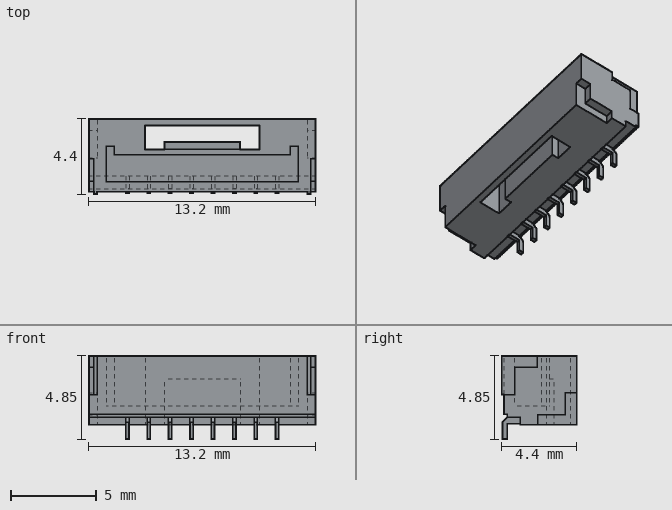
import cadquery as cq


length = 13.25
half_length = length / 2
height = 4.03
depth = 4.27
foot_depth = 3.31
lip_setback = 0.2
step_height = 0.46
lip_height = 0.62

cavity_length = 11.21
cavity_front_wall = 0.6
cavity_rear = 2.1
cavity_drop = 2.92
key_width = 0.48
key_rear = 1.6

window_length = 6.66
window_rear = 0.4
window_front = 1.79
catch_length = 4.43
catch_thickness = 0.44
catch_drop = 1.32

plate_recess_depth = 0.29
plate_thickness = 0.2
plate_rear = 2.32
plate_arm_rear = 3.63
plate_arm_drop = 0.65
plate_drop = 2.25
plate_front = 4.4

foot_recess_depth = plate_recess_depth + plate_thickness
foot_recess_front = 2.28
foot_recess_height = 0.6
foot_recess_arm_front = 0.68
foot_recess_arm_height = 1.87

leg_count = 8
leg_span = 8.75
leg_width = 0.2
leg_thickness = 0.29
leg_bar_height = 0.4
leg_front = 4.35
leg_drop = 0.82
leg_embed = 0.13


def box(x_min, x_max, y_min, y_max, z_min, z_max):
    """Axis-aligned block given by its limits."""
    size = (x_max - x_min, y_max - y_min, z_max - z_min)
    return cq.Workplane("XY").box(*size, centered=False).translate((x_min, y_min, z_min))


def centered_box(x_length, y_min, y_max, z_min, z_max):
    """Block that is symmetric about mid-length."""
    return box(-x_length / 2, x_length / 2, y_min, y_max, z_min, z_max)


def side_extrusion(outline, x_min, x_max):
    """Extrude a (Y, Z) outline along X between two limits."""
    plane = cq.Workplane("YZ", origin=(x_min, 0, 0))
    return plane.polyline(outline).close().extrude(x_max - x_min)


def both_ends(shape):
    """The shape together with its mirror image at the opposite end."""
    return shape.union(shape.mirror("YZ"))


def make_housing():
    """Solid housing with a stepped lower front edge."""
    outline = [
        (0, 0),
        (0, height),
        (-depth, height),
        (-depth, lip_height),
        (-depth + lip_setback, lip_height),
        (-depth + lip_setback, step_height),
        (-foot_depth, step_height),
        (-foot_depth, 0),
    ]
    return side_extrusion(outline, -half_length, half_length)


def make_cavity():
    """Plug cavity with a keyway in each rear corner."""
    floor = height - cavity_drop
    front = -depth + cavity_front_wall
    half_cavity = cavity_length / 2
    pocket = centered_box(cavity_length, front, -cavity_rear, floor, height)
    keyway = box(-half_cavity, -half_cavity + key_width, front, -key_rear, floor, height)
    return pocket.union(both_ends(keyway))


def make_window():
    """Latch window, leaving the catch standing on its front wall."""
    opening = centered_box(window_length, -window_front, -window_rear, 0, height)
    catch_rear = -window_front + catch_thickness
    catch = centered_box(catch_length, -window_front, catch_rear, 0, height - catch_drop)
    return opening.cut(catch)


def make_plate_recesses():
    """L-shaped recesses at the upper front of both ends."""
    outline = [
        (-plate_rear, height),
        (-plate_rear, height - plate_arm_drop),
        (-plate_arm_rear, height - plate_arm_drop),
        (-plate_arm_rear, height - plate_drop),
        (-depth, height - plate_drop),
        (-depth, height),
    ]
    return both_ends(side_extrusion(outline, -half_length, -half_length + plate_recess_depth))


def make_plates():
    """Plates flush with the recess walls, standing proud of the front face."""
    inner = -half_length + plate_recess_depth
    plate = box(inner, inner + plate_thickness, -plate_front, -plate_rear, height - plate_drop, height)
    return both_ends(plate)


def make_foot_recesses():
    """L-shaped recesses at the lower rear of both ends."""
    outline = [
        (0, 0),
        (0, foot_recess_arm_height),
        (-foot_recess_arm_front, foot_recess_arm_height),
        (-foot_recess_arm_front, foot_recess_height),
        (-foot_recess_front, foot_recess_height),
        (-foot_recess_front, 0),
    ]
    return both_ends(side_extrusion(outline, -half_length, -half_length + foot_recess_depth))


def make_leg(x_center):
    """Bent leg: a bar out of the foot, a chamfered elbow and a vertical tail."""
    tail_rear = leg_front - leg_thickness
    bar_bottom = step_height - leg_bar_height
    outline = [
        (-foot_depth + leg_embed, step_height),
        (-tail_rear, step_height),
        (-leg_front, step_height - leg_thickness),
        (-leg_front, -leg_drop),
        (-tail_rear, -leg_drop),
        (-tail_rear, bar_bottom),
        (-foot_depth + leg_embed, bar_bottom),
    ]
    return side_extrusion(outline, x_center - leg_width / 2, x_center + leg_width / 2)


result = make_housing().cut(make_cavity()).cut(make_window())
result = result.cut(make_plate_recesses()).cut(make_foot_recesses())
result = result.union(make_plates())

leg_pitch = leg_span / (leg_count - 1)
for index in range(leg_count):
    result = result.union(make_leg(-leg_span / 2 + index * leg_pitch))